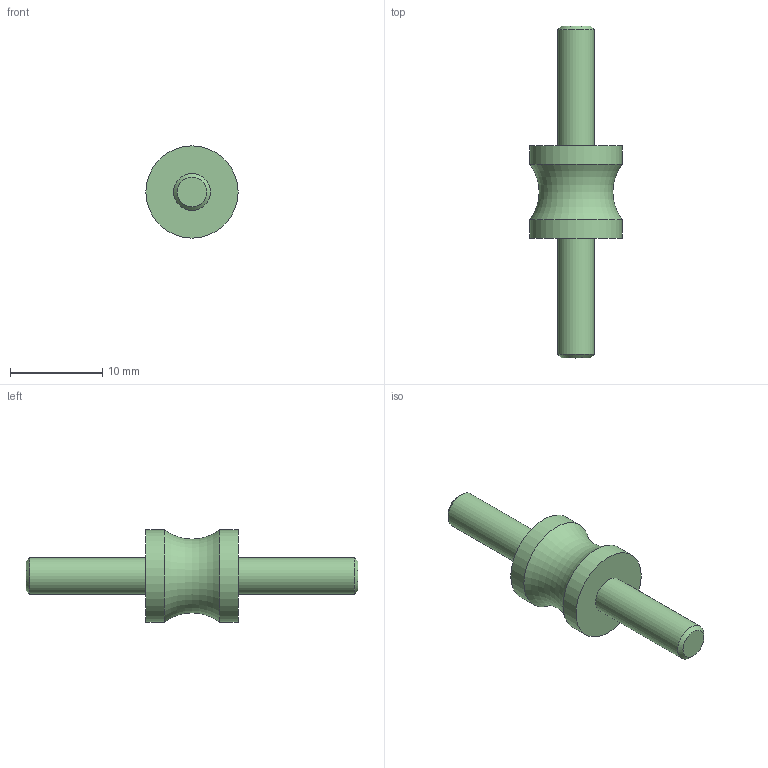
import cadquery as cq

body_diameter = 10.0
body_length = 10.0
rim_width = 2.0
waist_diameter = 8.0
stud_diameter = 4.0
stud_length = 13.0
stud_chamfer = 0.4

body_radius = body_diameter / 2
waist_radius = waist_diameter / 2
half_body = body_length / 2
groove_half_width = half_body - rim_width
total_length = body_length + 2 * stud_length


def make_waisted_body():
    """Revolve a drum with plain rims and a concave arc between them."""
    profile = (
        cq.Workplane("XY")
        .moveTo(0, -half_body)
        .lineTo(body_radius, -half_body)
        .lineTo(body_radius, -groove_half_width)
        .threePointArc((waist_radius, 0), (body_radius, groove_half_width))
        .lineTo(body_radius, half_body)
        .lineTo(0, half_body)
        .close()
    )
    return profile.revolve(360, (0, 0, 0), (0, 1, 0))


def make_studs():
    """Both studs as one through rod along Y, chamfered at its two ends."""
    rod = cq.Workplane("XZ").circle(stud_diameter / 2).extrude(total_length / 2, both=True)
    return rod.faces("<Y or >Y").chamfer(stud_chamfer)


result = make_waisted_body().union(make_studs())